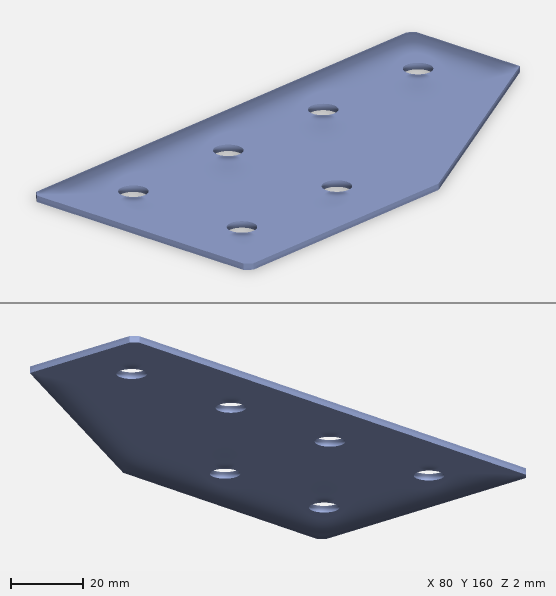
import cadquery as cq

length = 160.0
width = length / 2
thickness = 2.0
corner_cut = 2.0

pitch = length / 4
edge_distance = pitch / 2
hole_diameter = 8.5
long_row_count = 4
short_row_count = 2


def plate():
    """Tapered plate with three clipped square corners."""
    outline = [
        (corner_cut, 0),
        (width - corner_cut, 0),
        (width, corner_cut),
        (width, length / 2),
        (width / 2, length),
        (corner_cut, length),
        (0, length - corner_cut),
        (0, corner_cut),
    ]
    return cq.Workplane("XY").polyline(outline).close().extrude(thickness)


def hole_row(column, count):
    """Hole centres of one column, counted up from the wide end."""
    x = edge_distance + column * pitch
    return [(x, edge_distance + row * pitch) for row in range(count)]


hole_centres = hole_row(0, long_row_count) + hole_row(1, short_row_count)

result = plate().faces(">Z").workplane(origin=(0, 0)).pushPoints(hole_centres).hole(hole_diameter)